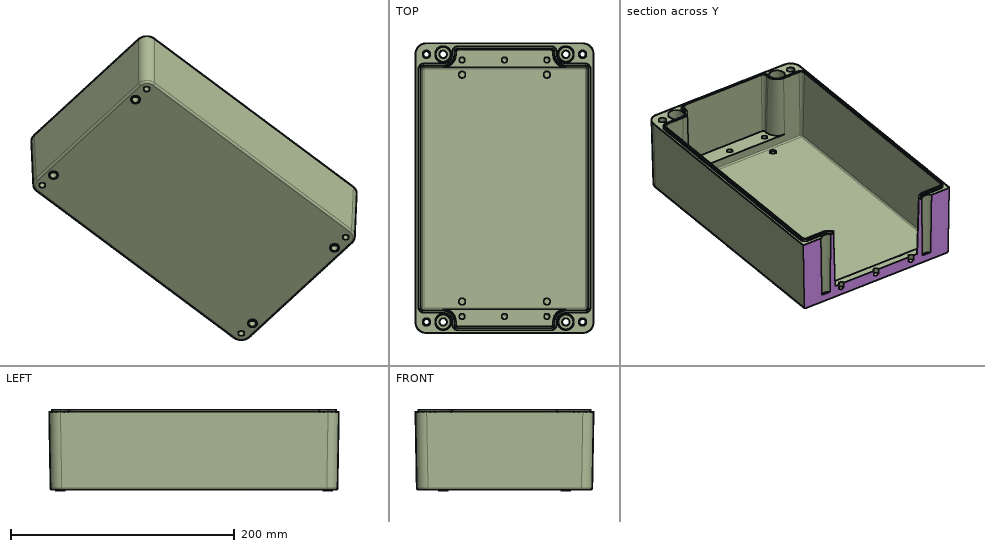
import cadquery as cq
import math

length_x = 160.0
length_y = 260.0
overall_height = 72.6
foot_height = 0.6
lip_height = 2.0
corner_radius = 10.0
outer_draft = 1.0
bottom_edge_radius = 2.0
top_z = overall_height - foot_height
rim_z = top_z - lip_height

cavity_half_x = 75.5
cavity_half_y = 125.6
main_half_y = 110.0
cavity_corner_radius = 3.5
cavity_draft = 1.5
lip_width = 1.8
floor_z = 3.5
shelf_height = 8.5
floor_edge_radius = 1.2
shelf_z = floor_z + shelf_height

mount_x = 55.0
mount_y = 120.0
mount_hole_diameter = 6.5
mount_bore_top_radius = 7.3
mount_bore_bottom_radius = 6.6
mount_bore_floor_z = 8.0
boss_radius = mount_y - main_half_y
end_half_x = mount_x - boss_radius
foot_radius = 4.1

lid_hole_x = 70.0
lid_hole_y = 120.0
lid_hole_top_radius = 3.5
lid_hole_bottom_radius = 2.7

fixing_pitch_x = 38.0
shelf_hole_y = 115.0
shelf_hole_radius = 2.5
shelf_hole_depth = 5.0
drill_point_angle = 118.0
floor_hole_y = 101.7
floor_hole_radius = 3.0
floor_hole_depth = 2.0


def four_corners(x, y):
    return [(sx * x, sy * y) for sx in (-1, 1) for sy in (-1, 1)]


def cone(x, y, base_z, base_radius, peak_z, peak_radius):
    """Round tapered body standing on base_z."""
    return cq.Workplane(
        cq.Solid.makeCone(
            base_radius, peak_radius, peak_z - base_z, pnt=cq.Vector(x, y, base_z)
        )
    )


def body_block():
    """Outer block, narrowing downwards, with round corners and bottom edge."""
    return (
        cq.Workplane("XY", origin=(0, 0, rim_z))
        .rect(length_x, length_y)
        .extrude(-rim_z, taper=outer_draft)
        .edges("not(#Z)")
        .fillet(corner_radius)
        .faces("<Z")
        .edges()
        .fillet(bottom_edge_radius)
    )


def mouth_outline(offset):
    """Cavity mouth grown by offset: a rectangle stepping in around the corner bosses."""
    outer_corners = "<X or >X or <Y or >Y"
    return (
        cq.Sketch()
        .rect(2 * (cavity_half_x + offset), 2 * (main_half_y + offset))
        .rect(2 * (end_half_x + offset), 2 * (cavity_half_y + offset))
        .clean()
        .vertices(f"not({outer_corners})")
        .fillet(boss_radius - offset)
        .reset()
        .vertices(outer_corners)
        .fillet(cavity_corner_radius + offset)
    )


def main_outline():
    """Rectangle of the deep part of the cavity, between the end shelves."""
    return (
        cq.Sketch()
        .rect(2 * cavity_half_x, 2 * main_half_y)
        .vertices()
        .fillet(cavity_corner_radius)
    )


def lip():
    """Low collar around the mouth; cutting the cavity leaves it lip_width wide."""
    return (
        cq.Workplane("XY", origin=(0, 0, rim_z))
        .placeSketch(mouth_outline(lip_width))
        .extrude(lip_height)
    )


def cavity():
    """Drafted interior: full mouth down to the end shelves, then the deeper main floor."""
    top_plane = cq.Workplane("XY", origin=(0, 0, top_z))
    upper = top_plane.placeSketch(mouth_outline(0)).extrude(shelf_z - top_z, taper=cavity_draft)
    main = (
        top_plane.placeSketch(main_outline())
        .extrude(floor_z - top_z, taper=cavity_draft)
        .faces("<Z")
        .edges()
        .fillet(floor_edge_radius)
    )
    return upper.union(main)


def mounting_feet():
    """Low round pads under the mounting holes."""
    return (
        cq.Workplane("XY", origin=(0, 0, -foot_height))
        .pushPoints(four_corners(mount_x, mount_y))
        .circle(foot_radius)
        .extrude(foot_height + bottom_edge_radius)
    )


def cut_mounting_holes(part):
    through = (
        cq.Workplane("XY", origin=(0, 0, -foot_height))
        .pushPoints(four_corners(mount_x, mount_y))
        .circle(mount_hole_diameter / 2)
        .extrude(overall_height)
    )
    part = part.cut(through)
    for x, y in four_corners(mount_x, mount_y):
        part = part.cut(
            cone(x, y, mount_bore_floor_z, mount_bore_bottom_radius, rim_z, mount_bore_top_radius)
        )
    return part


def cut_lid_holes(part):
    for x, y in four_corners(lid_hole_x, lid_hole_y):
        part = part.cut(cone(x, y, 0, lid_hole_bottom_radius, rim_z, lid_hole_top_radius))
    return part


def cut_shelf_holes(part):
    """Three drilled blind holes with conical ends in each shelf."""
    point_depth = shelf_hole_radius / math.tan(math.radians(drill_point_angle / 2))
    straight_end_z = shelf_z - shelf_hole_depth
    for y in (-shelf_hole_y, shelf_hole_y):
        for x in (-fixing_pitch_x, 0, fixing_pitch_x):
            part = part.cut(cone(x, y, straight_end_z - point_depth, 0, straight_end_z, shelf_hole_radius))
            part = part.cut(
                cq.Workplane("XY", origin=(x, y, straight_end_z))
                .circle(shelf_hole_radius)
                .extrude(shelf_hole_depth)
            )
    return part


def cut_floor_holes(part):
    holes = (
        cq.Workplane("XY", origin=(0, 0, floor_z))
        .pushPoints(four_corners(fixing_pitch_x, floor_hole_y))
        .circle(floor_hole_radius)
        .extrude(-floor_hole_depth)
    )
    return part.cut(holes)


result = body_block().union(lip())
result = result.cut(cavity()).union(mounting_feet())
result = cut_mounting_holes(result)
result = cut_lid_holes(result)
result = cut_shelf_holes(result)
result = cut_floor_holes(result)